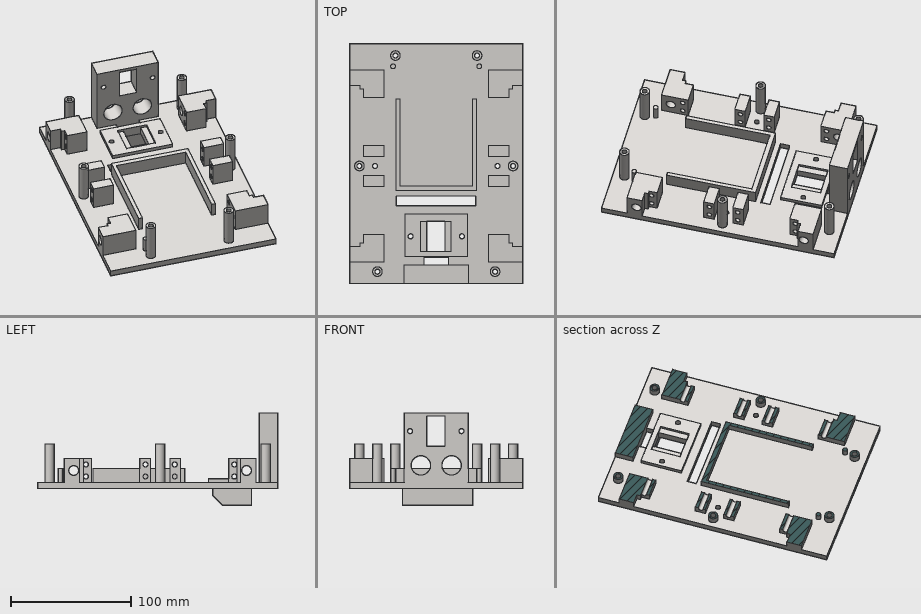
import cadquery as cq


PLATE_WIDTH = 144.2
PLATE_LENGTH = 200.0
PLATE_THICKNESS = 5.2
TOTAL_HEIGHT = 77.0
CABLE_SLOT_X = -0.2
CABLE_SLOT_WIDTH = 66.0
CABLE_SLOT_REAR = 73.0
CABLE_SLOT_FRONT = 65.0
SMALL_HOLE = 4.0
PLATE_HOLE_X = 51.0
MIDDLE_Y = 98.0

POST_DIAMETER = 8.0
POST_HEIGHT = 32.0
POST_CENTRES = [(49.0, 10.0), (64.0, MIDDLE_Y), (34.0, 190.0)]
PIN_DIAMETER = 4.0
PIN_CENTRES = [(-36.0, 181.0), (35.8, 181.0)]

MOUNT_HEIGHT = 19.8
MOUNT_INNER_X = 43.5
AXLE_BLOCK_LENGTH = 13.0
AXLE_HOLE = 8.0
AXLE_Z = 9.8
AXLE_FROM_BLOCK_END = 8.0
WEB_WIDTH = 20.0
WEB_LENGTH = 3.0
PAD_WIDTH = 17.2
CORNER_PAD_LENGTH = 7.0
MIDDLE_PAD_LENGTH = 9.0
PAD_HOLE_FROM_FREE_END = 4.8
PAD_HOLE_HEIGHTS = [4.8, 14.8]
FRONT_MOUNT_START = 18.0
REAR_MOUNT_END = 178.0
FRONT_PAD_START = 81.0
REAR_PAD_END = 115.0

TRAY_WIDTH = 66.8
TRAY_FRONT = 77.5
TRAY_REAR = 154.0
TRAY_HEIGHT = 11.5
TRAY_SIDE_WALL = 3.2
TRAY_FRONT_WALL = 4.0

WALL_WIDTH = 53.5
WALL_THICKNESS = 15.5
WALL_HEIGHT = 57.8
SENSOR_HOLE = 16.0
SENSOR_X = 12.8
SENSOR_Z = 14.0
SERVO_X = -0.5
SERVO_WIDTH = 15.0
SERVO_LENGTH = 25.0
SERVO_HOLE_X = 21.5
WALL_SERVO_Z = 42.5

SEAT_WIDTH = 52.5
SEAT_FRONT = 22.5
SEAT_REAR = 57.8
SEAT_HEIGHT = 3.0
SEAT_SERVO_Y = 39.5
SEAT_POCKET_WIDTH = 25.5
SEAT_POCKET_DEPTH = 2.0
WALL_SLOT_WIDTH = 20.0

BRACKET_LEFT = -28.2
BRACKET_RIGHT = 30.5
BRACKET_FRONT = 21.8
BRACKET_REAR = 54.2
BRACKET_HEIGHT = TOTAL_HEIGHT - WALL_HEIGHT - PLATE_THICKNESS
BRACKET_WALL = 3.2
BRACKET_CHAMFER = 8.0


def box(x0, x1, y0, y1, z0, z1):
    """Box spanning the given limits."""
    return cq.Workplane("XY").box(x1 - x0, y1 - y0, z1 - z0, centered=False).translate((x0, y0, z0))


def centred_box(x, width, y0, y1, z0, z1):
    """Box of the given width centred on x."""
    return box(x - width / 2, x + width / 2, y0, y1, z0, z1)


def z_cylinder(x, y, diameter, z0, z1):
    """Upright cylinder."""
    return cq.Workplane("XY", origin=(x, y, z0)).circle(diameter / 2).extrude(z1 - z0)


def x_hole(y, z, diameter):
    """Cutter running along X through the full width of the part."""
    return cq.Workplane("YZ", origin=(-PLATE_WIDTH / 2, y, z)).circle(diameter / 2).extrude(PLATE_WIDTH)


def wall_hole(x, z, diameter):
    """Cutter running along Y through the front wall."""
    return cq.Workplane("XZ", origin=(x, WALL_THICKNESS, z)).circle(diameter / 2).extrude(WALL_THICKNESS)


def mount_box(width, y0, y1):
    """Pair of motor mount blocks reaching outwards from the mounts' common inner face."""
    right = box(MOUNT_INNER_X, MOUNT_INNER_X + width, y0, y1, 0, MOUNT_HEIGHT)
    return right.union(right.mirror("YZ"))


def corner_mounts(outer_end, inward):
    """Two corner mounts; inward is +1 or -1, the Y direction from axle block to pad."""
    solid = cq.Workplane("XY")
    start = outer_end
    widths = [PLATE_WIDTH / 2 - MOUNT_INNER_X, WEB_WIDTH, PAD_WIDTH]
    lengths = [AXLE_BLOCK_LENGTH, WEB_LENGTH, CORNER_PAD_LENGTH]
    for width, length in zip(widths, lengths):
        end = start + inward * length
        solid = solid.union(mount_box(width, min(start, end), max(start, end)))
        start = end
    solid = solid.cut(x_hole(outer_end + inward * AXLE_FROM_BLOCK_END, AXLE_Z, AXLE_HOLE))
    return drill_pads(solid, start - inward * PAD_HOLE_FROM_FREE_END)


def middle_mounts(free_end, inward):
    """Two middle pads; inward is +1 or -1, the Y direction from the free end into the pad."""
    far_end = free_end + inward * MIDDLE_PAD_LENGTH
    solid = mount_box(PAD_WIDTH, min(free_end, far_end), max(free_end, far_end))
    return drill_pads(solid, free_end + inward * PAD_HOLE_FROM_FREE_END)


def drill_pads(solid, y):
    """Two screw holes, one above the other, through a pair of pads."""
    for z in PAD_HOLE_HEIGHTS:
        solid = solid.cut(x_hole(y, z, SMALL_HOLE))
    return solid


def battery_tray():
    """Low walls on both sides and at the front, open at the rear."""
    inner_width = TRAY_WIDTH - 2 * TRAY_SIDE_WALL
    inner_front = TRAY_FRONT + TRAY_FRONT_WALL
    outer = centred_box(0, TRAY_WIDTH, TRAY_FRONT, TRAY_REAR, 0, TRAY_HEIGHT)
    return outer.cut(centred_box(0, inner_width, inner_front, TRAY_REAR, 0, TRAY_HEIGHT))


def front_wall():
    """Upright wall at the front edge with its window and holes."""
    wall = centred_box(0, WALL_WIDTH, 0, WALL_THICKNESS, 0, WALL_HEIGHT)
    window_z0 = WALL_SERVO_Z - SERVO_LENGTH / 2
    window_z1 = WALL_SERVO_Z + SERVO_LENGTH / 2
    wall = wall.cut(centred_box(SERVO_X, SERVO_WIDTH, 0, WALL_THICKNESS, window_z0, window_z1))
    for side in (-1, 1):
        wall = wall.cut(wall_hole(SERVO_X + side * SERVO_HOLE_X, WALL_SERVO_Z, SMALL_HOLE))
        wall = wall.cut(wall_hole(side * SENSOR_X, SENSOR_Z, SENSOR_HOLE))
    return wall


def bracket():
    """Front wall with two cheeks whose lower rear corners are chamfered."""
    z_bottom = -PLATE_THICKNESS - BRACKET_HEIGHT
    solid = (
        box(BRACKET_LEFT, BRACKET_RIGHT, BRACKET_FRONT, BRACKET_REAR, z_bottom, -PLATE_THICKNESS)
        .edges(">Y and <Z").chamfer(BRACKET_CHAMFER)
    )
    inside = box(
        BRACKET_LEFT + BRACKET_WALL, BRACKET_RIGHT - BRACKET_WALL,
        BRACKET_FRONT + BRACKET_WALL, BRACKET_REAR, z_bottom, -PLATE_THICKNESS,
    )
    return solid.cut(inside)


bottom = -PLATE_THICKNESS
part = centred_box(0, PLATE_WIDTH, 0, PLATE_LENGTH, bottom, 0)
part = part.union(centred_box(0, SEAT_WIDTH, SEAT_FRONT, SEAT_REAR, 0, SEAT_HEIGHT))
for feature in (
    corner_mounts(FRONT_MOUNT_START, 1),
    corner_mounts(REAR_MOUNT_END, -1),
    middle_mounts(FRONT_PAD_START, 1),
    middle_mounts(REAR_PAD_END, -1),
    battery_tray(),
    front_wall(),
    bracket(),
):
    part = part.union(feature)

for x, y in PIN_CENTRES:
    part = part.union(z_cylinder(x, y, PIN_DIAMETER, 0, TRAY_HEIGHT))

for post_x, y in POST_CENTRES:
    for x in (-post_x, post_x):
        part = part.union(z_cylinder(x, y, POST_DIAMETER, 0, POST_HEIGHT))
        part = part.cut(z_cylinder(x, y, SMALL_HOLE, bottom, POST_HEIGHT))

servo_y0 = SEAT_SERVO_Y - SERVO_LENGTH / 2
servo_y1 = SEAT_SERVO_Y + SERVO_LENGTH / 2
pocket_floor = SEAT_HEIGHT - SEAT_POCKET_DEPTH
part = part.cut(centred_box(CABLE_SLOT_X, CABLE_SLOT_WIDTH, CABLE_SLOT_FRONT, CABLE_SLOT_REAR, bottom, 0))
part = part.cut(centred_box(0, WALL_SLOT_WIDTH, WALL_THICKNESS, BRACKET_FRONT, bottom, 0))
part = part.cut(centred_box(SERVO_X, SERVO_WIDTH, servo_y0, servo_y1, bottom, SEAT_HEIGHT))
part = part.cut(centred_box(SERVO_X, SEAT_POCKET_WIDTH, servo_y0, servo_y1, pocket_floor, SEAT_HEIGHT))
for side in (-1, 1):
    part = part.cut(z_cylinder(side * SERVO_HOLE_X, SEAT_SERVO_Y, SMALL_HOLE, bottom, SEAT_HEIGHT))
    part = part.cut(z_cylinder(side * PLATE_HOLE_X, MIDDLE_Y, SMALL_HOLE, bottom, 0))

result = part